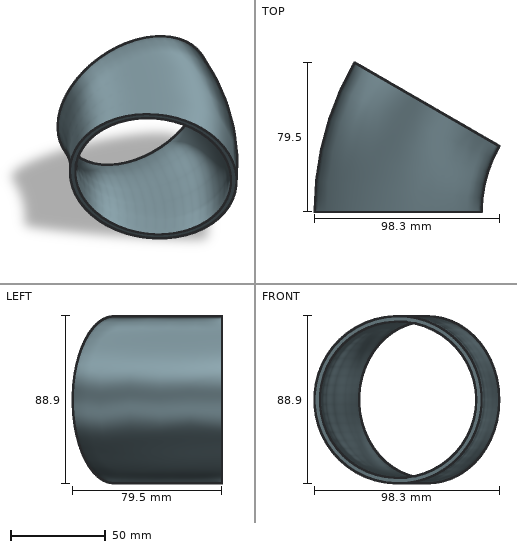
import cadquery as cq
import math

overall_width = 98.3
bend_radius = 114.5
bend_angle = 30.0
wall_thickness = 2.9

bend_cosine = math.cos(math.radians(bend_angle))
outer_radius = (overall_width - bend_radius * (1 - bend_cosine)) / (1 + bend_cosine)
inner_radius = outer_radius - wall_thickness

tube_section = cq.Workplane("XZ").circle(outer_radius).circle(inner_radius)

result = tube_section.revolve(
    bend_angle,
    axisStart=(bend_radius, 1, 0),
    axisEnd=(bend_radius, 0, 0),
)